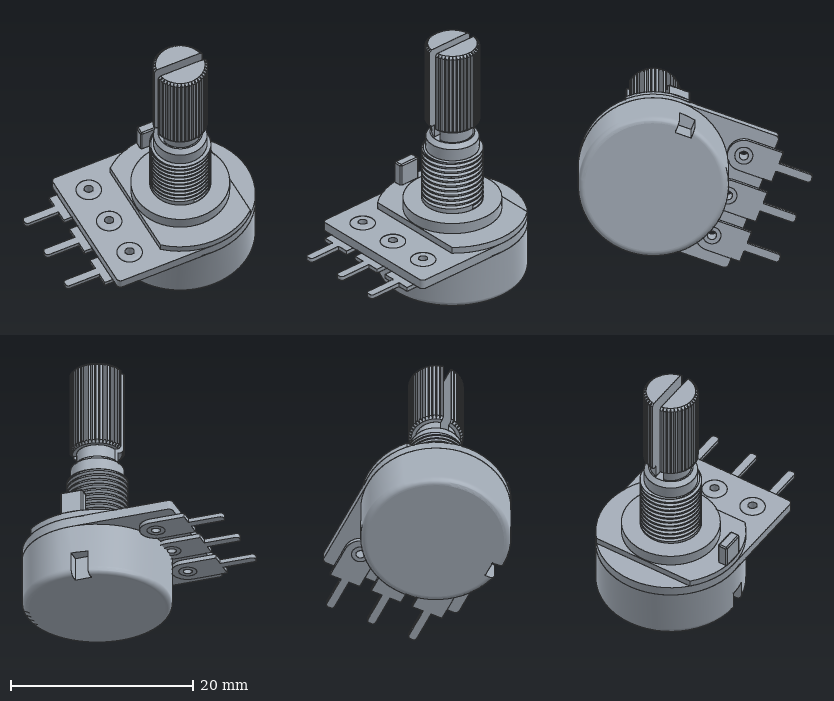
import cadquery as cq
overall_depth = 24.95
overall_height = 29.2
body_radius = 8.25
terminal_tip_y = body_radius - overall_depth

can_top = 6.02
board_top = 7.12
plate_top = 7.88
flange_top = 9.2
thread_top = 15.77
collar_top = 17.72
knurl_bottom = 19.25

can_bottom_fillet = 0.73
notch_width = 1.87
notch_height = 2.7
notch_depth = 1.37

board_front_y = -11.75
board_corner_radius = 0.5

plate_half_depth = 5.52
tab_outer_x = -8.18
tab_thickness = 1.15
tab_width = 2.6
tab_top = 10.5
tab_chamfer = 0.15

flange_radius = 5.43
thread_radius = 3.4
thread_pitch = 0.6
thread_depth = 0.3
thread_groove_width = 0.4
thread_overshoot = 0.1
thread_start = 9.45
collar_radius = 2.95
collar_chamfer = 0.5
neck_radius = 2.28
knurl_radius = 3.0
knurl_chamfer = 0.3
knurl_groove_count = 44
knurl_groove_width = 0.18
knurl_groove_depth = 0.23
slot_width = 0.95

contact_pitch = 5.0
contact_xs = [-contact_pitch, 0, contact_pitch]
contact_y = -8.73
terminal_thickness = 0.5
terminal_bottom = can_top - terminal_thickness
pad_half_width = 1.8
pad_front_y = -12.7
prong_width = 0.95
prong_tip_radius = 0.35
rivet_head_radius = 1.4
rivet_flat_radius = 1.1
rivet_head_height = 0.18
rivet_shank_radius = 1.0
rivet_hole_radius = 0.5


def cylinder(radius, bottom, top):
    return cq.Workplane("XY", origin=(0, 0, bottom)).circle(radius).extrude(top - bottom)


def box(x_range, y_range, z_range):
    sizes = [high - low for low, high in (x_range, y_range, z_range)]
    corner = (x_range[0], y_range[0], z_range[0])
    return cq.Workplane("XY").box(*sizes, centered=False).translate(corner)


def make_plate():
    disc = cylinder(body_radius, board_top, plate_top)
    flats = box(
        (-body_radius, body_radius),
        (-plate_half_depth, plate_half_depth),
        (board_top, plate_top),
    )
    tab = box(
        (tab_outer_x, tab_outer_x + tab_thickness),
        (-tab_width / 2, tab_width / 2),
        (plate_top, tab_top),
    )
    tab = tab.edges("|Z or >Z").chamfer(tab_chamfer)
    return disc.intersect(flats).union(tab)


def make_thread_groove():
    """V-shaped helical groove that starts on the +X side and passes above the bushing's top."""
    root_radius = thread_radius - thread_depth
    outer_radius = thread_radius + thread_overshoot
    half_width = thread_groove_width / 2 * (1 + thread_overshoot / thread_depth)
    groove_length = thread_top + thread_pitch - thread_start
    helix = cq.Wire.makeHelix(
        thread_pitch, groove_length, root_radius, cq.Vector(0, 0, thread_start)
    )
    return (
        cq.Workplane("XZ")
        .moveTo(root_radius, thread_start)
        .lineTo(outer_radius, thread_start - half_width)
        .lineTo(outer_radius, thread_start + half_width)
        .close()
        .sweep(cq.Workplane(helix), isFrenet=True)
    )


def make_threaded_sleeve():
    """The groove is cut into a taller sleeve, which is then trimmed so that the groove runs out."""
    stock_top = thread_top + 2 * thread_pitch
    stock = cylinder(thread_radius, flange_top, stock_top).cut(make_thread_groove())
    trim_reach = (-2 * thread_radius, 2 * thread_radius)
    return stock.cut(box(trim_reach, trim_reach, (thread_top, stock_top)))


def make_bushing():
    flange = cylinder(flange_radius, plate_top, flange_top)
    collar = cylinder(collar_radius, thread_top, collar_top).faces(">Z").chamfer(collar_chamfer)
    return flange.union(make_threaded_sleeve()).union(collar)


def make_knurl():
    knurl = cylinder(knurl_radius, knurl_bottom, overall_height)
    knurl = knurl.faces("<Z or >Z").chamfer(knurl_chamfer)
    groove_step = 360 / knurl_groove_count
    half_width = knurl_groove_width / 2
    groove = (
        cq.Workplane("XY", origin=(0, 0, knurl_bottom))
        .moveTo(knurl_radius - knurl_groove_depth, 0)
        .lineTo(knurl_radius, -half_width)
        .lineTo(knurl_radius + knurl_groove_depth, 0)
        .lineTo(knurl_radius, half_width)
        .close()
        .extrude(overall_height - knurl_bottom)
    )
    axis = ((0, 0, 0), (0, 0, 1))
    cutters = [groove.rotate(*axis, groove_step * i).val() for i in range(knurl_groove_count)]
    return knurl.cut(cq.Workplane(cq.Compound.makeCompound(cutters)))


def make_shaft():
    neck = cylinder(neck_radius, collar_top, knurl_bottom)
    slot = box(
        (-slot_width / 2, slot_width / 2),
        (-knurl_radius, knurl_radius),
        (collar_top, overall_height),
    )
    return neck.union(make_knurl()).cut(slot)


def make_control():
    return make_plate().union(make_bushing()).union(make_shaft())


def make_can():
    can = cylinder(body_radius, 0, can_top).faces("<Z").edges().fillet(can_bottom_fillet)
    notch = box((-body_radius, notch_depth - body_radius), (-notch_width, 0), (0, notch_height))
    return can.cut(notch)


def make_board():
    front = box((-body_radius, body_radius), (board_front_y, 0), (can_top, board_top))
    front = front.edges("|Z and <Y").fillet(board_corner_radius)
    board = cylinder(body_radius, can_top, board_top).union(front)
    for x in contact_xs:
        board = board.cut(cylinder(rivet_shank_radius, can_top, board_top).translate((x, contact_y, 0)))
    return board


def make_terminal(x):
    outline = cq.Workplane("XY", origin=(0, 0, terminal_bottom))
    pad = (
        outline.moveTo(-pad_half_width, pad_front_y)
        .lineTo(-pad_half_width, contact_y)
        .threePointArc((0, contact_y + pad_half_width), (pad_half_width, contact_y))
        .lineTo(pad_half_width, pad_front_y)
        .close()
        .extrude(terminal_thickness)
    )
    prong = box(
        (-prong_width / 2, prong_width / 2),
        (terminal_tip_y, pad_front_y),
        (terminal_bottom, can_top),
    )
    prong = prong.edges("|Z and <Y").fillet(prong_tip_radius)
    hole = cylinder(rivet_shank_radius, terminal_bottom, can_top).translate((0, contact_y, 0))
    return pad.union(prong).cut(hole).translate((x, 0, 0))


def make_rivet(x):
    """Hollow rivet whose rounded head sits on the board."""
    head_top = board_top + rivet_head_height
    profile = (
        cq.Workplane("XZ")
        .moveTo(rivet_hole_radius, terminal_bottom)
        .lineTo(rivet_hole_radius, head_top)
        .lineTo(rivet_flat_radius, head_top)
        .tangentArcPoint((rivet_head_radius, board_top), relative=False)
        .lineTo(rivet_shank_radius, board_top)
        .lineTo(rivet_shank_radius, terminal_bottom)
        .close()
    )
    return profile.revolve(360, (0, 0, 0), (0, 1, 0)).translate((x, contact_y, 0))


control = make_control()
can = make_can()
board = make_board()
terminals = [make_terminal(x).val() for x in contact_xs]
rivets = [make_rivet(x).val() for x in contact_xs]

result = cq.Compound.makeCompound([control.val(), can.val(), board.val(), *terminals, *rivets])